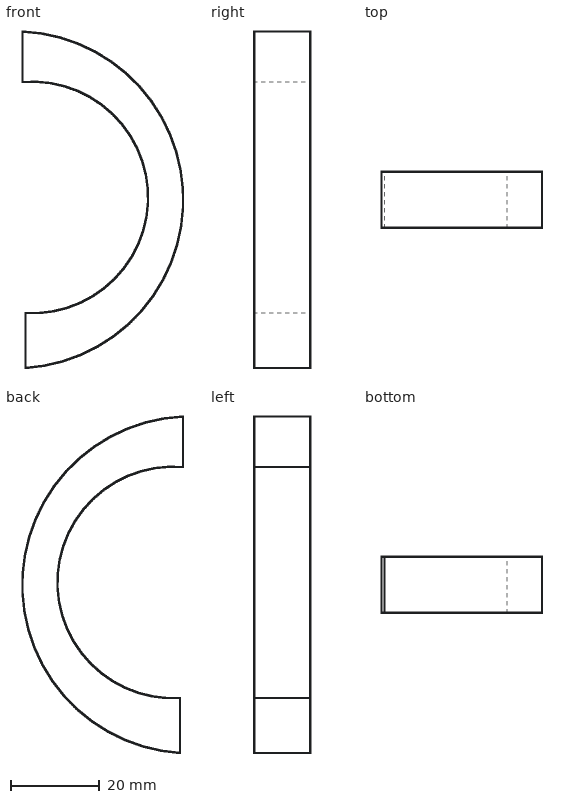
import cadquery as cq

height = 76.1
reach = 36.4
depth = 12.7

lower_end_x = 0.7
upper_inner_z = 64.6
lower_inner_z = 12.5

outer_crown_z = 38.05
inner_crown_x = 28.4
inner_crown_z = 38.5

profile = (
    cq.Workplane("XZ")
    .moveTo(0, height)
    .threePointArc((reach, outer_crown_z), (lower_end_x, 0))
    .lineTo(lower_end_x, lower_inner_z)
    .threePointArc((inner_crown_x, inner_crown_z), (0, upper_inner_z))
    .close()
)

result = profile.extrude(depth / 2, both=True)